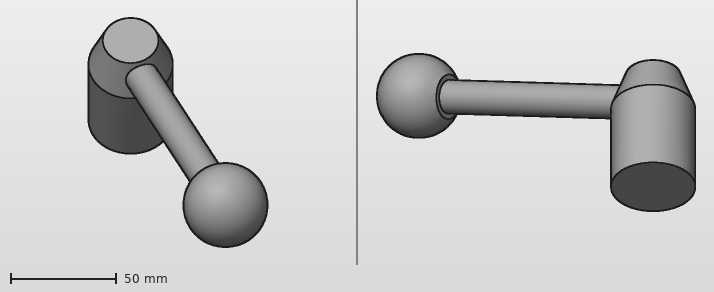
import cadquery as cq
import math

overall_length = 165.0
overall_height = 114.0
hub_diameter = 40.0
hub_cylinder_height = 45.0
hub_height = 64.2
hub_top_diameter = 26.2
ball_diameter = 40.0
ball_flat_diameter = 21.1
rod_diameter = 16.0
rod_tilt = 20.0

hub_radius = hub_diameter / 2
ball_radius = ball_diameter / 2
ball_x = overall_length - hub_radius - ball_radius
ball_z = overall_height - ball_radius
tilt = math.radians(rod_tilt)
rod_start_z = ball_z - ball_x * math.tan(tilt)
rod_length = ball_x / math.cos(tilt)
flat_distance = math.sqrt(ball_radius**2 - (ball_flat_diameter / 2) ** 2)

rod_plane = cq.Plane(
    origin=(0, 0, rod_start_z),
    xDir=(0, 1, 0),
    normal=(math.cos(tilt), 0, math.sin(tilt)),
)


def make_hub():
    """Cylindrical hub with a conical top."""
    return (
        cq.Workplane("XZ")
        .moveTo(0, 0)
        .lineTo(hub_radius, 0)
        .lineTo(hub_radius, hub_cylinder_height)
        .lineTo(hub_top_diameter / 2, hub_height)
        .lineTo(0, hub_height)
        .close()
        .revolve(360, (0, 0, 0), (0, 1, 0))
    )


def make_rod():
    """Inclined round rod from the hub axis to the ball centre."""
    return cq.Workplane(rod_plane).circle(rod_diameter / 2).extrude(rod_length)


def make_ball():
    """Ball with a flat facing the rod."""
    ball = cq.Workplane("XY").sphere(ball_radius).translate((ball_x, 0, ball_z))
    flat_cutter = (
        cq.Workplane(rod_plane)
        .workplane(offset=rod_length - flat_distance)
        .circle(ball_radius)
        .extrude(-ball_radius)
    )
    return ball.cut(flat_cutter)


result = make_hub().union(make_rod()).union(make_ball())